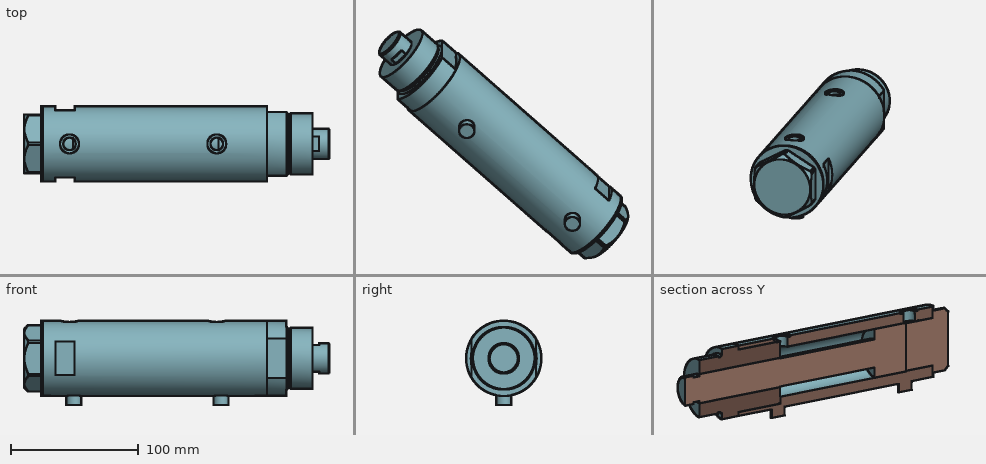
import cadquery as cq
import math

body_diameter = 59.0
body_radius = body_diameter / 2
bore_radius = 20.0
gland_bore_radius = 25.8
port_count = 2
port_pitch = 115.0

hex_sides = 6
hex_across_flats = 46.0
hex_corner_diameter = 52.0
hex_length = 13.4
hex_face_diameter = 45.4
plug_flange_thickness = 1.5
plug_nose_length = 23.6

housing_start = hex_length + plug_flange_thickness
plug_end = housing_start + plug_nose_length
housing_end = 190.0
housing_flat_start = 24.5
housing_flat_length = 15.0
housing_across_flats = 52.8

first_port_x = 35.5
port_diameter = 9.8
spot_face_diameter = 14.8
spot_face_height = 28.5

first_peg_x = 39.0
peg_diameter = 12.0
peg_projection = 7.2

gland_spigot_start = 152.0
gland_flange_length = 15.0
gland_across_flats = 50.1
collar_diameter = 48.0
gland_end = 225.7
relief_diameter = 45.8
relief_shoulder_chamfer = 1.7
collar_chamfer = 1.2
relief_length = 3.5

rod_end = 238.8
rod_diameter = 23.9
rod_chamfer = 1.0
rod_across_flats = 21.0
rod_flat_length = 5.0
piston_length = 28.7


def cylinder_x(radius, start, end):
    """A cylinder on the X axis between two X positions."""
    return turned([(start, 0), (start, radius), (end, radius), (end, 0)])


def cylinder_z(diameter, x, bottom, top):
    """An upright cylinder centred on the axis plane at the given X position."""
    return cq.Workplane("XY", origin=(x, 0, bottom)).circle(diameter / 2).extrude(top - bottom)


def turned(profile):
    """A solid of revolution about X from (x, radius) points."""
    return cq.Workplane("XZ").polyline(profile).close().revolve(360, (0, 0, 0), (1, 0, 0))


def flats_band(start, length, across_y, across_z):
    """A block, centred on the axis, that limits a stretch of the part in Y and Z."""
    return cq.Workplane("XY").box(length, across_y, across_z).translate((start + length / 2, 0, 0))


def cut_flats(solid, start, length, outer_diameter, across_y, across_z):
    """Cut parallel flats into a round stretch of a body."""
    stretch = flats_band(start, length, 2 * outer_diameter, 2 * outer_diameter)
    return solid.cut(stretch.cut(flats_band(start, length, across_y, across_z)))


def make_plug():
    corner_radius = hex_corner_diameter / 2
    face_radius = hex_face_diameter / 2
    chamfer = corner_radius - face_radius
    point_to_point = hex_across_flats / math.cos(math.pi / hex_sides)
    hexagon = (
        cq.Workplane("YZ")
        .transformed(rotate=(0, 0, 90))
        .polygon(hex_sides, point_to_point)
        .extrude(hex_length)
    )
    envelope = turned([(0, 0), (0, face_radius), (chamfer, corner_radius),
                       (hex_length, corner_radius), (hex_length, 0)])
    head = hexagon.intersect(envelope)
    flange = cylinder_x(body_radius, hex_length, housing_start)
    nose = cylinder_x(bore_radius, housing_start, plug_end)
    return head.union(flange).union(nose)


def make_housing():
    housing = cylinder_x(body_radius, housing_start, housing_end)
    housing = cut_flats(housing, housing_flat_start, housing_flat_length,
                        body_diameter, housing_across_flats, body_diameter)
    for index in range(port_count):
        peg_x = first_peg_x + index * port_pitch
        housing = housing.union(cylinder_z(peg_diameter, peg_x, -body_radius - peg_projection, 0))
    housing = housing.cut(cylinder_x(bore_radius, housing_start, housing_end))
    housing = housing.cut(cylinder_x(gland_bore_radius, gland_spigot_start, housing_end))
    for index in range(port_count):
        port_x = first_port_x + index * port_pitch
        housing = housing.cut(cylinder_z(port_diameter, port_x, 0, body_radius))
        housing = housing.cut(cylinder_z(spot_face_diameter, port_x, spot_face_height, body_radius))
    return housing


def make_gland():
    rod_radius = rod_diameter / 2
    collar_radius = collar_diameter / 2
    relief_radius = relief_diameter / 2
    flange_end = housing_end + gland_flange_length
    collar_start = flange_end + relief_length
    gland = turned([
        (gland_spigot_start, rod_radius),
        (gland_spigot_start, gland_bore_radius),
        (housing_end, gland_bore_radius),
        (housing_end, body_radius),
        (flange_end, body_radius),
        (flange_end, relief_radius + relief_shoulder_chamfer),
        (flange_end + relief_shoulder_chamfer, relief_radius),
        (collar_start - collar_chamfer, relief_radius),
        (collar_start, collar_radius),
        (gland_end, collar_radius),
        (gland_end, rod_radius),
    ])
    return cut_flats(gland, housing_end, gland_flange_length,
                     body_diameter, gland_across_flats, body_diameter)


def make_piston_rod():
    piston = cylinder_x(bore_radius, plug_end, plug_end + piston_length)
    rod = cylinder_x(rod_diameter / 2, plug_end, rod_end).faces(">X").chamfer(rod_chamfer)
    rod = cut_flats(rod, gland_end, rod_flat_length,
                    rod_diameter, rod_diameter, rod_across_flats)
    return piston.union(rod)


plug = make_plug()
housing = make_housing()
gland = make_gland()
piston_rod = make_piston_rod()

result = cq.Compound.makeCompound([plug.val(), housing.val(), gland.val(), piston_rod.val()])